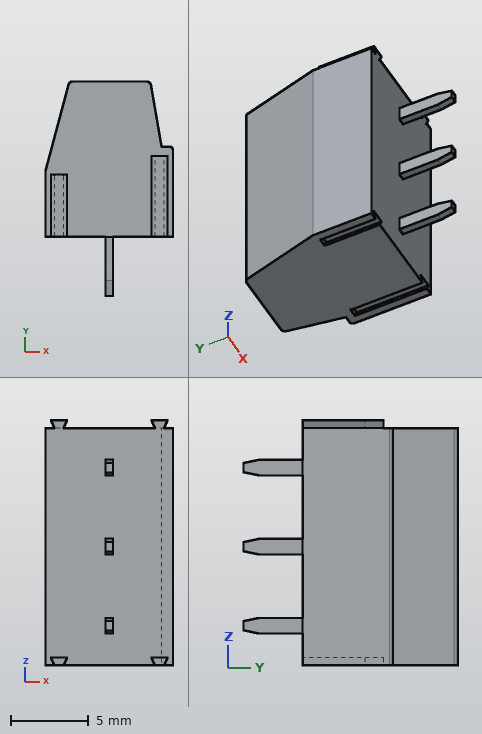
import cadquery as cq

pole_count = 3
overall_length = 15.74
rail_height = 0.5
body_length = overall_length - rail_height
body_width = 8.2
body_depth = 10.0
pole_pitch = body_length / pole_count

half_width = body_width / 2
left_wall_depth = 4.25
left_top_x = -2.57
right_top_x = 2.65
step_depth = 5.8
step_inner_x = 3.37
top_radius = 0.31
step_radius = 0.2

dovetail_wide = 1.05
dovetail_narrow = 0.6
dovetail_edge_gap = 0.35
dovetail_x = half_width - dovetail_edge_gap - dovetail_wide / 2
left_dovetail_length = 4.0
right_dovetail_length = 5.21

pin_length = 3.81
pin_thickness = 0.5
pin_width = 1.02
pin_tip_width = 0.6
pin_taper_length = 1.02


def make_body():
    """Sloped housing with a low step on the +X side, extruded along the row of poles."""
    outline = [
        (-half_width, 0),
        (half_width, 0),
        (half_width, step_depth),
        (step_inner_x, step_depth),
        (right_top_x, body_depth),
        (left_top_x, body_depth),
        (-half_width, left_wall_depth),
    ]
    body = cq.Workplane("XY").polyline(outline).close().extrude(body_length)
    body = body.faces(">Y").edges("|Z").fillet(top_radius)
    step_corner = cq.NearestToPointSelector((half_width, step_depth, body_length / 2))
    return body.edges("|Z").edges(step_corner).fillet(step_radius)


def make_dovetail(center_x, base_z, length):
    """Dovetail bar that starts at the pin face, narrow at base_z and wide at its top."""
    top_z = base_z + rail_height
    outline = [
        (center_x - dovetail_narrow / 2, base_z),
        (center_x + dovetail_narrow / 2, base_z),
        (center_x + dovetail_wide / 2, top_z),
        (center_x - dovetail_wide / 2, top_z),
    ]
    return cq.Workplane("XZ").polyline(outline).close().extrude(-length)


def make_pin(center_z):
    """Flat pin pointing toward -Y, tapered in width at its free end."""
    taper_start_y = pin_taper_length - pin_length
    outline = [
        (0, center_z - pin_width / 2),
        (taper_start_y, center_z - pin_width / 2),
        (-pin_length, center_z - pin_tip_width / 2),
        (-pin_length, center_z + pin_tip_width / 2),
        (taper_start_y, center_z + pin_width / 2),
        (0, center_z + pin_width / 2),
    ]
    return cq.Workplane("YZ").polyline(outline).close().extrude(pin_thickness / 2, both=True)


result = make_body()

for center_x, length in [(-dovetail_x, left_dovetail_length), (dovetail_x, right_dovetail_length)]:
    result = result.cut(make_dovetail(center_x, 0, length))
    result = result.union(make_dovetail(center_x, body_length, length))

for pole in range(pole_count):
    result = result.union(make_pin((pole + 0.5) * pole_pitch))